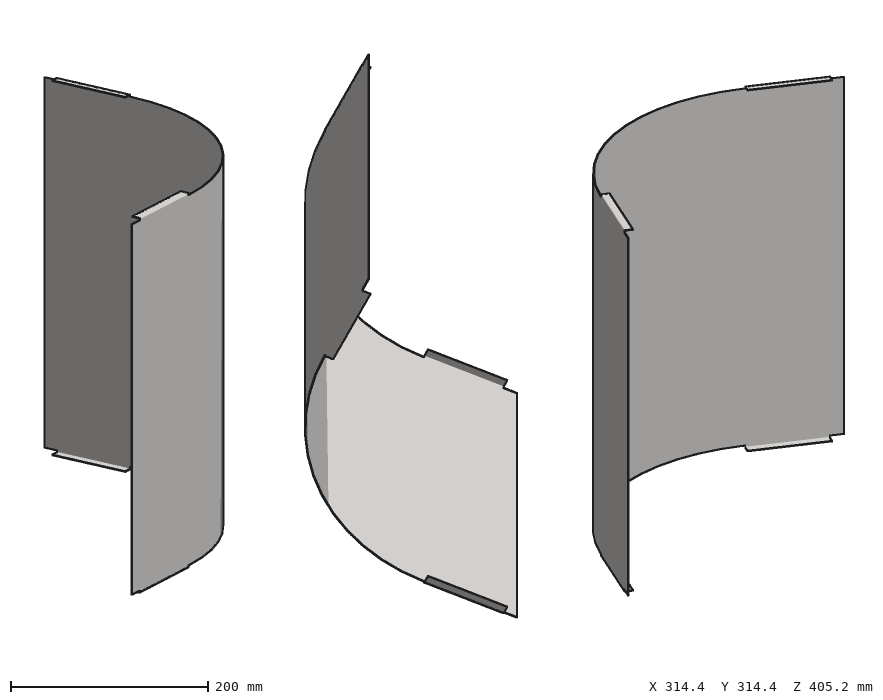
import cadquery as cq
import math

outer_size = 314.35
sheet_height = 400.0
overall_height = 405.2
thickness = 1.0
flat_length = 105.0
tab_length = 89.0
tab_offset = 15.0
tab_depth = 9.5
bend_inner_radius = 0.5

half_size = outer_size / 2
inner_face = half_size - thickness
sheet_top = sheet_height / 2
outer_radius = outer_size - flat_length
inner_radius = outer_radius - thickness
bend_outer_radius = bend_inner_radius + thickness


def arc_middle(center_u, center_v, radius):
    """Point at 45 degrees on a circle, halfway along a quarter arc."""
    offset = radius * math.sqrt(0.5)
    return (center_u + offset, center_v + offset)


def make_sheet():
    """Quarter-round sheet with a straight stretch at each end."""
    arc_center = half_size - outer_radius
    return (
        cq.Workplane("XY", origin=(0, 0, -sheet_top))
        .moveTo(-half_size, half_size)
        .lineTo(arc_center, half_size)
        .threePointArc(arc_middle(arc_center, arc_center, outer_radius), (half_size, arc_center))
        .lineTo(half_size, -half_size)
        .lineTo(inner_face, -half_size)
        .lineTo(inner_face, arc_center)
        .threePointArc(arc_middle(arc_center, arc_center, inner_radius), (arc_center, inner_face))
        .lineTo(-half_size, inner_face)
        .close()
        .extrude(sheet_height)
    )


def make_upper_back_tab():
    """Tab folded inward from the upper edge of the leg that runs along X."""
    tab_top = overall_height / 2
    tab_underside = tab_top - thickness
    tip_y = half_size - tab_depth
    bend_y = half_size - bend_outer_radius
    bend_z = tab_top - bend_outer_radius
    return (
        cq.Workplane("YZ", origin=(tab_offset - half_size, 0, 0))
        .moveTo(half_size, sheet_top)
        .lineTo(half_size, bend_z)
        .threePointArc(arc_middle(bend_y, bend_z, bend_outer_radius), (bend_y, tab_top))
        .lineTo(tip_y, tab_top)
        .lineTo(tip_y, tab_underside)
        .lineTo(bend_y, tab_underside)
        .threePointArc(arc_middle(bend_y, bend_z, bend_inner_radius), (inner_face, bend_z))
        .lineTo(inner_face, sheet_top)
        .close()
        .extrude(tab_length)
    )


def make_tabs():
    """Upper and lower tabs on both legs."""
    upper_tab = make_upper_back_tab()
    tabs = []
    for back_tab in (upper_tab, upper_tab.mirror("XY")):
        side_tab = back_tab.mirror("YZ").rotate((0, 0, 0), (0, 0, 1), -90)
        tabs += [back_tab, side_tab]
    return tabs


result = make_sheet()
for tab in make_tabs():
    result = result.union(tab)